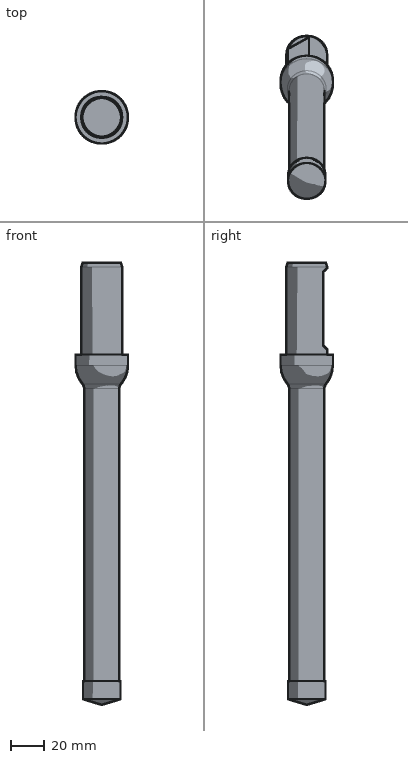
import cadquery as cq
import math

total_length = 268.0

head_diameter = 22.8
head_top = 14.5
point_height = 3.5

body_diameter = 21.5
body_top = 191.5
flare_joint = 194.5

flange_diameter = 32.0
flange_bottom = 205.8
flange_top = 212.3

shank_diameter = 25.0
shank_chamfer = 0.8
shank_chamfer_height = 2.7

flat_depth = 2.5
flat_bottom = 218.0
flat_top = 262.5


def make_head():
    """Cylindrical drill head with a conical point."""
    radius = head_diameter / 2
    profile = (
        cq.Workplane("XZ")
        .lineTo(radius, point_height)
        .lineTo(radius, head_top)
        .lineTo(0, head_top)
        .close()
    )
    return profile.revolve(360, (0, 0), (0, 1))


def make_turned_holder():
    """Body, curved flare, flange and chamfered shank turned about Z."""
    body_radius = body_diameter / 2
    flange_radius = flange_diameter / 2
    shank_radius = shank_diameter / 2

    flare_width = flange_radius - body_radius
    flare_height = flange_bottom - body_top
    sweep = 2 * math.atan2(flare_width, flare_height)
    convex_radius = (flange_bottom - flare_joint) / math.sin(sweep)
    concave_radius = (flare_joint - body_top) / math.sin(sweep)

    def convex_point(angle):
        return (
            flange_radius - convex_radius * (1 - math.cos(angle)),
            flange_bottom - convex_radius * math.sin(angle),
        )

    def concave_point(angle):
        return (
            body_radius + concave_radius * (1 - math.cos(angle)),
            body_top + concave_radius * math.sin(angle),
        )

    profile = (
        cq.Workplane("XZ")
        .moveTo(0, head_top)
        .lineTo(body_radius, head_top)
        .lineTo(body_radius, body_top)
        .threePointArc(concave_point(sweep / 2), concave_point(sweep))
        .threePointArc(convex_point(sweep / 2), (flange_radius, flange_bottom))
        .lineTo(flange_radius, flange_top)
        .lineTo(shank_radius, flange_top)
        .lineTo(shank_radius, total_length - shank_chamfer_height)
        .lineTo(shank_radius - shank_chamfer, total_length)
        .lineTo(0, total_length)
        .close()
    )
    return profile.revolve(360, (0, 0), (0, 1))


def make_flat_cutter():
    """Prism along X that removes the clamping flat."""
    shank_radius = shank_diameter / 2
    flat_y = shank_radius - flat_depth
    return (
        cq.Workplane("YZ")
        .moveTo(flat_y, flat_bottom)
        .lineTo(flat_y, flat_top)
        .lineTo(shank_radius, flat_top + flat_depth)
        .lineTo(shank_radius, flat_bottom - flat_depth)
        .close()
        .extrude(shank_radius, both=True)
    )


head = make_head()
holder = make_turned_holder().cut(make_flat_cutter())

result = cq.Compound.makeCompound([head.val(), holder.val()])